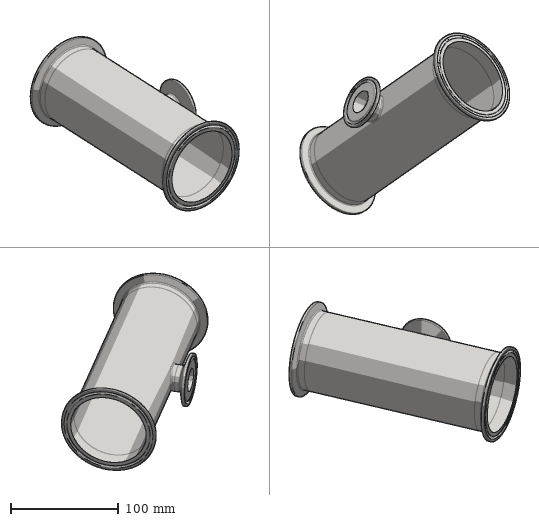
import cadquery as cq
import math


total_length = 196.8
run_outer_diameter = 76.2
run_bore_diameter = 72.8
run_flange_diameter = 91.0

total_depth = 99.5
branch_outer_diameter = 25.4
branch_bore_diameter = 22.0
branch_flange_diameter = 50.4
branch_weld_radius = 1.2

ferrule_length = 12.5
rim_thickness = 2.8
rim_edge_radius = 0.4
clamp_angle = math.radians(20.0)
neck_fillet_radius = 1.2
groove_inset = 4.0
groove_half_width = 1.4
groove_depth = 1.0
groove_lip_radius = 0.4

branch_face_y = total_depth - run_flange_diameter / 2
tube_end = total_length / 2 - ferrule_length
stub_end = branch_face_y - ferrule_length

match_tolerance = 0.02


def round_circle(solid, radius, height, fillet_radius):
    """Fillet the circular edge around Z that has the given radius and height."""

    def is_match(edge):
        same_radius = abs(edge.radius() - radius) < match_tolerance
        same_height = abs(edge.Center().z - height) < match_tolerance
        return same_radius and same_height

    return solid.edges("%CIRCLE").filter(is_match).fillet(fillet_radius)


def ferrule(flange_diameter, outer_diameter, bore_diameter):
    """Clamp ferrule around Z, with its sealing face at Z = 0 and its neck toward +Z."""
    flange_radius = flange_diameter / 2
    outer_radius = outer_diameter / 2
    bore_radius = bore_diameter / 2
    cone_end = rim_thickness + (flange_radius - outer_radius) * math.tan(clamp_angle)
    groove_radius = flange_radius - groove_inset
    groove_inner = groove_radius - groove_half_width
    groove_outer = groove_radius + groove_half_width

    body = (
        cq.Workplane("XZ")
        .moveTo(bore_radius, 0)
        .lineTo(groove_inner, 0)
        .threePointArc((groove_radius, groove_depth), (groove_outer, 0))
        .lineTo(flange_radius, 0)
        .lineTo(flange_radius, rim_thickness)
        .lineTo(outer_radius, cone_end)
        .lineTo(outer_radius, ferrule_length)
        .lineTo(bore_radius, ferrule_length)
        .close()
        .revolve(360, (0, 0, 0), (0, 1, 0))
    )

    body = round_circle(body, outer_radius, cone_end, neck_fillet_radius)
    for height in (0, rim_thickness):
        body = round_circle(body, flange_radius, height, rim_edge_radius)
    for lip_radius in (groove_inner, groove_outer):
        body = round_circle(body, lip_radius, 0, groove_lip_radius)
    return body


def cylinder_along_x(start, end, diameter):
    return cq.Workplane("YZ").workplane(offset=start).circle(diameter / 2).extrude(end - start)


def cylinder_to_plus_y(end, diameter):
    """Cylinder along +Y, starting on the axis of the run."""
    return cq.Workplane("XZ").circle(diameter / 2).extrude(-end)


tube = cylinder_along_x(-tube_end, tube_end, run_outer_diameter)
stub = cylinder_to_plus_y(stub_end, branch_outer_diameter)
saddle_zone = cq.selectors.BoxSelector(
    (-branch_outer_diameter, 0, -branch_outer_diameter),
    (branch_outer_diameter, stub_end - branch_weld_radius, branch_outer_diameter),
    boundingbox=True,
)
tee = tube.union(stub).edges(saddle_zone).fillet(branch_weld_radius)

tee = tee.cut(cylinder_along_x(-tube_end, tube_end, run_bore_diameter))
tee = tee.cut(cylinder_to_plus_y(stub_end, branch_bore_diameter))

run_ferrule = (
    ferrule(run_flange_diameter, run_outer_diameter, run_bore_diameter)
    .rotate((0, 0, 0), (0, 1, 0), 90)
    .translate((-total_length / 2, 0, 0))
)
branch_ferrule = (
    ferrule(branch_flange_diameter, branch_outer_diameter, branch_bore_diameter)
    .rotate((0, 0, 0), (1, 0, 0), 90)
    .translate((0, branch_face_y, 0))
)

result = tee
for end_ferrule in (run_ferrule, run_ferrule.mirror("YZ"), branch_ferrule):
    result = result.union(end_ferrule, clean=False)